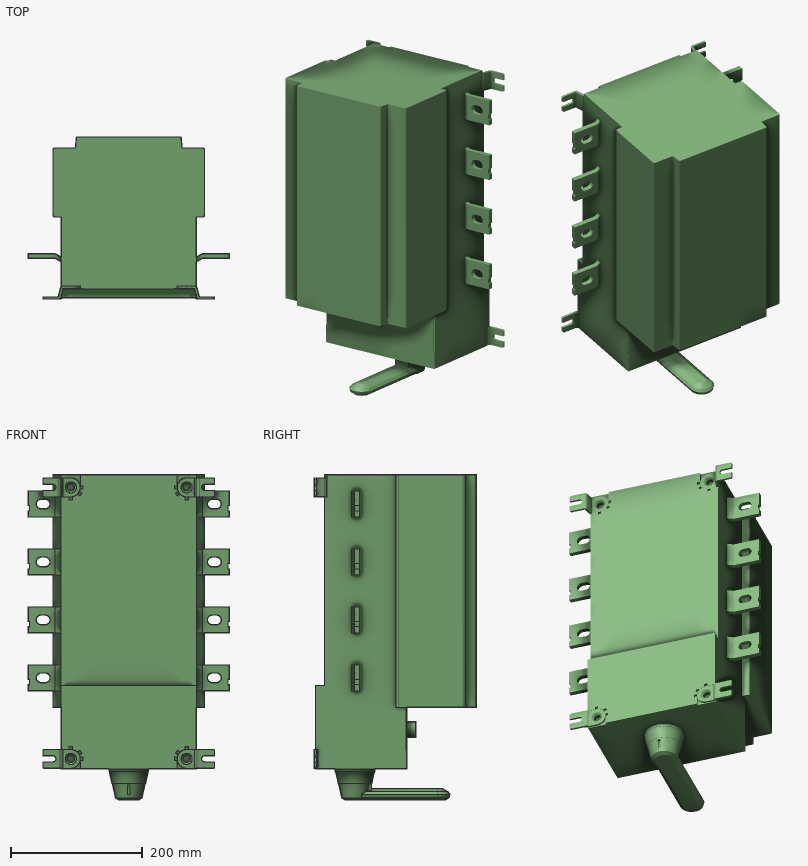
import cadquery as cq
import math

TOP_Z = 494.0

BODY_HALF_X = 102.8
BODY_BACK_Y = 16.0
BASE_BACK_Y = 2.0
BODY_FRONT_Y = 141.0
BODY_BOTTOM_Z = 47.5
BASE_TOP_Z = 174.5
END_CAP_TOP_Z = 75.5
PANEL_DEPTH = 1.5

COVER_BOTTOM_Z = 141.0
COVER_HALF_X = 115.0
COVER_BACK_Y = 124.5
COVER_SHOULDER_Y = 229.5
COVER_FRONT_Y = 246.5
COVER_FILLET = 3.5
RIDGE_ROOT_HALF_X = 81.0
RIDGE_TIP_HALF_X = 79.5
RIDGE_FILLET = 2.5

BUTTON_DIAMETER = 24.0
BUTTON_LENGTH = 14.0
BUTTON_Z = 107.0

TERMINAL_COUNT = 4
TERMINAL_PITCH = 88.0
TERMINAL_TOP_Z = 449.5
TERMINAL_HEIGHT = 39.5
OVERALL_WIDTH = 306.0
TERMINAL_TIP_X = OVERALL_WIDTH / 2
TERMINAL_BEND_X = 111.5
TERMINAL_OUTER_Y = 69.0
TERMINAL_THICKNESS = 7.5
TERMINAL_BEND_ANGLE = 30.0
TERMINAL_EMBED = 5.0
SLOT_X = 130.0
SLOT_LENGTH = 20.7
SLOT_WIDTH = 14.5
NOTCH_DEPTH = 2.0
NOTCH_HEIGHT = 8.0
NOTCH_DROP = 6.5

FOOT_X = 88.0
TOP_FOOT_Z = 474.5
BOTTOM_FOOT_Z = 62.5
FOOT_TIP_X = 130.5
FOOT_HEIGHT = 28.5
FOOT_THICKNESS = 3.5
FOOT_CORNER_RADIUS = 2.5
FOOT_LEG_ROOT_X = 100.0
FOOT_LEG_TIP_X = 103.5
FOOT_LEG_WIDTH = 3.5
FOOT_BEND_RADIUS = 5.0
FOOT_SLOT_WIDTH = 9.0
FOOT_SLOT_END_X = 110.5
RECESS_DEPTH = 4.0
TOOTH_REACH = 19.0
TOOTH_WIDTH = 5.0
TOOTH_ANGLES = (0, 35, 90)
SCREW_HOLE_DIAMETER = 11.0
SCREW_SINK_DIAMETER = 17.0
SCREW_HOLE_DEPTH = 10.0
SCREW_SINK_ANGLE = 90

KNOB_Y = 62.0
KNOB_COLLAR_RADIUS = 30.0
KNOB_COLLAR_Z = 43.5
KNOB_CONE_RADIUS = 29.5
KNOB_WAIST_RADIUS = 25.5
KNOB_WAIST_STEP = 0.5
KNOB_TIP_RADIUS = 20.5
KNOB_TIP_Z = 3.5
KNOB_FACE_RADIUS = 14.5
KNOB_NECK_Z = 25.5
NECK_LENGTH = 25.0
NECK_WIDTH = 24.5
HANDLE_TIP_Y = 206.5
HANDLE_BASE_HALF_WIDTH = 12.0
HANDLE_LOWER_HALF_WIDTH = 18.0
HANDLE_LOWER_Z = 4.0
HANDLE_HALF_WIDTH = 19.5
HANDLE_WIDEST_Z = 9.0
HANDLE_UPPER_HALF_WIDTH = 16.0
HANDLE_UPPER_Z = 13.0
HANDLE_TOP_HALF_WIDTH = 7.5
HANDLE_HEIGHT = 18.0
MARK_WIDTH = 4.5
MARK_BOTTOM_Z = 9.0
MARK_TOP_Z = 23.0
MARK_FLOOR_RADIUS = 20.0


def block(x_min, x_max, y_min, y_max, z_min, z_max):
    """Axis-aligned block given by its limits."""
    size = (x_max - x_min, y_max - y_min, z_max - z_min)
    return cq.Workplane("XY").box(*size, centered=False).translate((x_min, y_min, z_min))


def plan_extrusion(outline, z_min, z_max):
    """Extrude along Z a closed outline drawn in the XY plane."""
    return cq.Workplane("XY").workplane(offset=z_min).polyline(outline).close().extrude(z_max - z_min)


def both_sides(solid):
    """The solid together with its mirror image across X = 0."""
    return solid.union(solid.mirror("YZ"))


def make_body():
    upper = block(-BODY_HALF_X, BODY_HALF_X, BODY_BACK_Y, BODY_FRONT_Y, COVER_BOTTOM_Z, TOP_Z)
    base_front_y = BODY_FRONT_Y - PANEL_DEPTH
    base = block(-BODY_HALF_X, BODY_HALF_X, BASE_BACK_Y, base_front_y, BODY_BOTTOM_Z, BASE_TOP_Z)
    end_cap = block(-BODY_HALF_X, BODY_HALF_X, BASE_BACK_Y, BODY_FRONT_Y, BODY_BOTTOM_Z, END_CAP_TOP_Z)
    panel_half_x = BODY_HALF_X - PANEL_DEPTH
    panel = block(-panel_half_x, panel_half_x, BODY_BACK_Y, BODY_FRONT_Y, BODY_BOTTOM_Z, COVER_BOTTOM_Z)
    return upper.union(base).union(end_cap).union(panel)


def make_cover():
    right_side = [
        (COVER_HALF_X, COVER_BACK_Y),
        (COVER_HALF_X, COVER_SHOULDER_Y),
        (RIDGE_ROOT_HALF_X, COVER_SHOULDER_Y),
        (RIDGE_TIP_HALF_X, COVER_FRONT_Y),
    ]
    left_side = [(-x, y) for x, y in reversed(right_side)]
    cover = plan_extrusion(right_side + left_side, COVER_BOTTOM_Z, TOP_Z)
    cover = cover.edges("|Z and (>X or <X)").fillet(COVER_FILLET)
    return cover.faces(">Y").edges("|Z").fillet(RIDGE_FILLET)


def make_button():
    plane = cq.Workplane("XZ", origin=(0, BODY_FRONT_Y, BUTTON_Z))
    return plane.circle(BUTTON_DIAMETER / 2).extrude(-BUTTON_LENGTH)


def make_terminal(z):
    """Cranked terminal lug on the +X side, with a slotted hole and a notched tip."""
    slope = math.tan(math.radians(TERMINAL_BEND_ANGLE))
    root_x = BODY_HALF_X - TERMINAL_EMBED
    drop = (TERMINAL_BEND_X - root_x) * slope
    inner_y = TERMINAL_OUTER_Y - TERMINAL_THICKNESS
    outline = [
        (TERMINAL_TIP_X, inner_y),
        (TERMINAL_TIP_X, TERMINAL_OUTER_Y),
        (TERMINAL_BEND_X, TERMINAL_OUTER_Y),
        (root_x, TERMINAL_OUTER_Y - drop),
        (root_x, inner_y - drop),
        (TERMINAL_BEND_X, inner_y),
    ]
    lug = plan_extrusion(outline, z - TERMINAL_HEIGHT / 2, z + TERMINAL_HEIGHT / 2)
    cut_plane = cq.Workplane("XZ", origin=(0, TERMINAL_OUTER_Y, z))
    slot = cut_plane.center(SLOT_X, 0).slot2D(SLOT_LENGTH, SLOT_WIDTH).extrude(TERMINAL_THICKNESS)
    notch = cut_plane.center(TERMINAL_TIP_X, -NOTCH_DROP).rect(2 * NOTCH_DEPTH, NOTCH_HEIGHT)
    return lug.cut(slot).cut(notch.extrude(TERMINAL_THICKNESS))


def make_recess(face_y, z, end_z):
    """Keyed pocket for a foot: round, with teeth facing inward, open to the body corner."""
    inward = math.copysign(1, z - end_z)
    plane = cq.Workplane("XZ", origin=(FOOT_X, face_y + RECESS_DEPTH, z))
    recess = plane.circle(FOOT_HEIGHT / 2).extrude(RECESS_DEPTH)
    y_max = face_y + RECESS_DEPTH
    corner_x = FOOT_X - FOOT_HEIGHT / 2
    recess = recess.union(block(corner_x, BODY_HALF_X, face_y, y_max, min(z, end_z), max(z, end_z)))
    exit_path = block(FOOT_X, BODY_HALF_X, face_y, y_max, z - FOOT_HEIGHT / 2, z + FOOT_HEIGHT / 2)
    recess = recess.union(exit_path)
    for angle in TOOTH_ANGLES:
        tooth = plane.center(-TOOTH_REACH / 2, 0).rect(TOOTH_REACH, TOOTH_WIDTH).extrude(RECESS_DEPTH)
        recess = recess.union(tooth.rotate((FOOT_X, 0, z), (FOOT_X, 1, z), inward * angle))
    return recess


def make_foot(face_y, z):
    """Sheet-metal foot: plate in the recess, leg down to Y = 0, slotted tab pointing outward."""
    plate_y = face_y + RECESS_DEPTH
    seat_y = plate_y - FOOT_THICKNESS
    plate_start_x = FOOT_X - FOOT_HEIGHT / 2
    outline = [
        (plate_start_x, plate_y),
        (plate_start_x, seat_y),
        (FOOT_LEG_ROOT_X, seat_y),
        (FOOT_LEG_TIP_X, 0),
        (FOOT_TIP_X, 0),
        (FOOT_TIP_X, FOOT_THICKNESS),
        (FOOT_LEG_TIP_X + FOOT_LEG_WIDTH, FOOT_THICKNESS),
        (FOOT_LEG_ROOT_X + FOOT_LEG_WIDTH, plate_y),
    ]
    foot = plan_extrusion(outline, z - FOOT_HEIGHT / 2, z + FOOT_HEIGHT / 2)
    outer_bends = [(FOOT_LEG_TIP_X, 0, z), (FOOT_LEG_ROOT_X + FOOT_LEG_WIDTH, plate_y, z)]
    for bend in outer_bends:
        foot = foot.edges(cq.selectors.NearestToPointSelector(bend)).fillet(FOOT_BEND_RADIUS)

    front = cq.Workplane("XZ", origin=(0, plate_y, z))
    tab_length = FOOT_TIP_X - FOOT_X
    tab = front.center(FOOT_X + tab_length / 2, 0).rect(tab_length, FOOT_HEIGHT).extrude(plate_y)
    tab = tab.edges("|Y and >X").fillet(FOOT_CORNER_RADIUS)
    round_end = front.center(FOOT_X, 0).circle(FOOT_HEIGHT / 2).extrude(plate_y)
    foot = foot.intersect(tab.union(round_end))

    slot_length = 2 * (FOOT_TIP_X - FOOT_SLOT_END_X)
    slot = front.center(FOOT_TIP_X, 0).slot2D(slot_length, FOOT_SLOT_WIDTH).extrude(plate_y)
    return foot.cut(slot)


def make_screw_hole(face_y, z):
    """Countersunk blind hole through the foot plate into the body."""
    seat_y = face_y + RECESS_DEPTH - FOOT_THICKNESS
    sink_depth = (SCREW_SINK_DIAMETER - SCREW_HOLE_DIAMETER) / 2
    sink_depth /= math.tan(math.radians(SCREW_SINK_ANGLE / 2))
    profile = [
        (0, 0),
        (SCREW_SINK_DIAMETER / 2, 0),
        (SCREW_HOLE_DIAMETER / 2, sink_depth),
        (SCREW_HOLE_DIAMETER / 2, SCREW_HOLE_DEPTH),
        (0, SCREW_HOLE_DEPTH),
    ]
    hole = cq.Workplane("XY").polyline(profile).close().revolve(360, (0, 0, 0), (0, 1, 0))
    return hole.translate((FOOT_X, seat_y, z))


def make_handle():
    """Lever along +Y with a faceted section swept round its free end."""
    half_section = [
        (0, 0),
        (HANDLE_BASE_HALF_WIDTH, 0),
        (HANDLE_LOWER_HALF_WIDTH, HANDLE_LOWER_Z),
        (HANDLE_HALF_WIDTH, HANDLE_WIDEST_Z),
        (HANDLE_UPPER_HALF_WIDTH, HANDLE_UPPER_Z),
        (HANDLE_TOP_HALF_WIDTH, HANDLE_HEIGHT),
        (0, HANDLE_HEIGHT),
    ]
    end_y = HANDLE_TIP_Y - HANDLE_HALF_WIDTH
    end_plane = cq.Workplane("XZ", origin=(0, end_y, 0))
    bar = both_sides(end_plane.polyline(half_section).close().extrude(end_y - KNOB_Y))
    round_end = end_plane.polyline(half_section).close().revolve(360, (0, 0, 0), (0, 1, 0))
    return bar.union(round_end)


def make_knob():
    profile = [
        (0, BODY_BOTTOM_Z),
        (KNOB_COLLAR_RADIUS, BODY_BOTTOM_Z),
        (KNOB_COLLAR_RADIUS, KNOB_COLLAR_Z),
        (KNOB_CONE_RADIUS, KNOB_COLLAR_Z),
        (KNOB_WAIST_RADIUS, KNOB_NECK_Z),
        (KNOB_WAIST_RADIUS - KNOB_WAIST_STEP, KNOB_NECK_Z),
        (KNOB_TIP_RADIUS, KNOB_TIP_Z),
        (KNOB_FACE_RADIUS, 0),
        (0, 0),
    ]
    knob = cq.Workplane("XZ").polyline(profile).close().revolve(360, (0, 0, 0), (0, 1, 0))
    knob = knob.translate((0, KNOB_Y, 0))
    neck_end_y = KNOB_Y + NECK_LENGTH
    neck = block(-NECK_WIDTH / 2, NECK_WIDTH / 2, KNOB_Y, neck_end_y, HANDLE_WIDEST_Z, KNOB_NECK_Z)
    mark = block(
        -MARK_WIDTH / 2,
        MARK_WIDTH / 2,
        KNOB_Y - KNOB_COLLAR_RADIUS,
        KNOB_Y - MARK_FLOOR_RADIUS,
        MARK_BOTTOM_Z,
        MARK_TOP_Z,
    )
    return knob.union(neck).union(make_handle()).cut(mark)


result = make_body().union(make_cover()).union(make_button()).union(make_knob())

for index in range(TERMINAL_COUNT):
    terminal_z = TERMINAL_TOP_Z - index * TERMINAL_PITCH
    result = result.union(both_sides(make_terminal(terminal_z)))

foot_places = [
    (BODY_BACK_Y, TOP_FOOT_Z, TOP_Z),
    (BASE_BACK_Y, BOTTOM_FOOT_Z, BODY_BOTTOM_Z),
]
for back_y, foot_z, body_end_z in foot_places:
    result = result.cut(both_sides(make_recess(back_y, foot_z, body_end_z)))
    result = result.union(both_sides(make_foot(back_y, foot_z)))
    result = result.cut(both_sides(make_screw_hole(back_y, foot_z)))